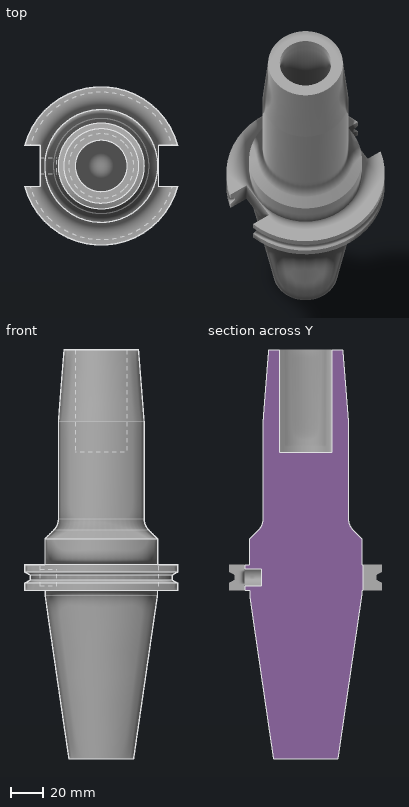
import cadquery as cq
import math


TOTAL_LENGTH = 254.0
TAPER_LENGTH = 101.5
NECK_LENGTH = 3.0
FLANGE_THICKNESS = 16.0
COLLAR_LENGTH = 16.0
NOSE_LENGTH = 44.5

GAUGE_RADIUS = 34.92
TAPER_RATIO = 7 / 24
FLANGE_RADIUS = 98.3 / 2
COLLAR_RADIUS = 35.0
BODY_RADIUS = 26.7
BODY_FILLET = 10.0
NOSE_ANGLE = math.radians(4.5)

GROOVE_WIDTH = 6.9
GROOVE_DEPTH = 3.3
GROOVE_HALF_ANGLE = math.radians(30)

SLOT_WIDTH = 25.5
LEFT_SLOT_FLOOR = 37.8
RIGHT_SLOT_FLOOR = 35.5
SIDE_HOLE_DIAMETER = 10.2
SIDE_HOLE_DEPTH = 10.2

BORE_DIAMETER = 32.0
BORE_DEPTH = 63.5

flange_bottom = TAPER_LENGTH + NECK_LENGTH
flange_middle = flange_bottom + FLANGE_THICKNESS / 2
flange_top = flange_bottom + FLANGE_THICKNESS


def make_turned_body():
    """Revolve the outer half profile, without the gripper groove."""
    small_end_radius = GAUGE_RADIUS - TAPER_LENGTH * TAPER_RATIO / 2
    collar_top = flange_top + COLLAR_LENGTH
    nose_bottom = TOTAL_LENGTH - NOSE_LENGTH
    nose_tip_radius = BODY_RADIUS - NOSE_LENGTH * math.tan(NOSE_ANGLE)

    diagonal = math.sqrt(0.5)
    cone_top_radius = BODY_RADIUS + BODY_FILLET * (1 - diagonal)
    cone_top = collar_top + COLLAR_RADIUS - cone_top_radius
    fillet_top = cone_top + BODY_FILLET * diagonal
    mid_angle = math.radians(22.5)
    fillet_middle = (
        BODY_RADIUS + BODY_FILLET * (1 - math.cos(mid_angle)),
        fillet_top - BODY_FILLET * math.sin(mid_angle),
    )

    profile = (
        cq.Workplane("XZ")
        .moveTo(0, 0)
        .lineTo(small_end_radius, 0)
        .lineTo(GAUGE_RADIUS, TAPER_LENGTH)
        .lineTo(GAUGE_RADIUS, flange_bottom)
        .lineTo(FLANGE_RADIUS, flange_bottom)
        .lineTo(FLANGE_RADIUS, flange_top)
        .lineTo(COLLAR_RADIUS, flange_top)
        .lineTo(COLLAR_RADIUS, collar_top)
        .lineTo(cone_top_radius, cone_top)
        .threePointArc(fillet_middle, (BODY_RADIUS, fillet_top))
        .lineTo(BODY_RADIUS, nose_bottom)
        .lineTo(nose_tip_radius, TOTAL_LENGTH)
        .lineTo(0, TOTAL_LENGTH)
        .close()
    )
    return profile.revolve(360, (0, 0, 0), (0, 1, 0))


def make_gripper_groove():
    """Ring with a flat-bottomed V section, centred on the flange."""
    half_mouth = GROOVE_WIDTH / 2
    half_floor = half_mouth - GROOVE_DEPTH * math.tan(GROOVE_HALF_ANGLE)
    floor_radius = FLANGE_RADIUS - GROOVE_DEPTH
    section = [
        (FLANGE_RADIUS, flange_middle - half_mouth),
        (floor_radius, flange_middle - half_floor),
        (floor_radius, flange_middle + half_floor),
        (FLANGE_RADIUS, flange_middle + half_mouth),
    ]
    return cq.Workplane("XZ").polyline(section).close().revolve(360, (0, 0, 0), (0, 1, 0))


def make_drive_slot(floor_distance, side):
    """Slot through the flange on the +X (side = 1) or -X (side = -1) side."""
    slot_depth = FLANGE_RADIUS - floor_distance
    slot_centre = side * (floor_distance + slot_depth / 2)
    return (
        cq.Workplane("XY")
        .box(slot_depth, SLOT_WIDTH, FLANGE_THICKNESS)
        .translate((slot_centre, 0, flange_middle))
    )


def make_side_hole():
    """Blind radial hole running inward from the left slot floor."""
    return (
        cq.Workplane("YZ", origin=(-LEFT_SLOT_FLOOR, 0, flange_middle))
        .circle(SIDE_HOLE_DIAMETER / 2)
        .extrude(SIDE_HOLE_DEPTH)
    )


def make_tool_bore():
    """Blind bore down from the nose."""
    return (
        cq.Workplane("XY", origin=(0, 0, TOTAL_LENGTH))
        .circle(BORE_DIAMETER / 2)
        .extrude(-BORE_DEPTH)
    )


result = (
    make_turned_body()
    .cut(make_gripper_groove())
    .cut(make_drive_slot(LEFT_SLOT_FLOOR, -1))
    .cut(make_drive_slot(RIGHT_SLOT_FLOOR, 1))
    .cut(make_side_hole())
    .cut(make_tool_bore())
)